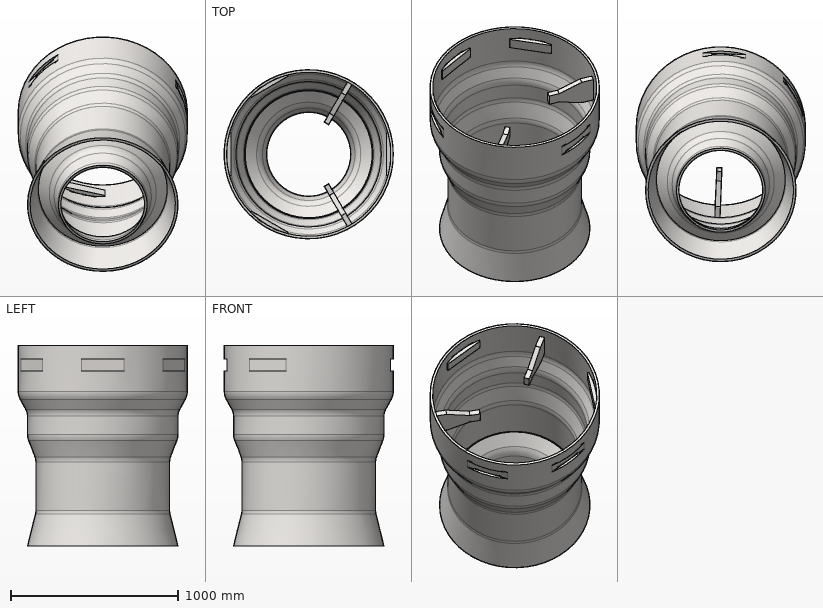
import cadquery as cq
import math

height = 1200.0
wall = 15.0
bell_diameter = 1012.0
bell_radius = bell_diameter / 2
step_radius = 450.0
neck_diameter = 800.0
neck_radius = neck_diameter / 2
bend_inside = 84.0
bend_outside = bend_inside + wall

bell_bottom = 900.0
step_top = 798.0
step_bottom = 649.0
neck_top = 520.0
neck_bottom = 202.0

indent_angles = (0, 120, 180, 240)
indent_floor = 490.0
pad_face = 465.0
indent_width = 2 * math.sqrt(bell_radius**2 - indent_floor**2)
indent_height = 70.0
indent_middle = 1082.0

plate_angles = (60, 300)
plate_thickness = 31.0
plate_tip = 212.0
plate_tip_end = 275.0
plate_root_start = 416.0
plate_middle = 1035.0
plate_tip_height = 70.0
plate_root_height = 173.0

bore_radius = neck_radius - wall
reducer_wall = 15.0
reducer_top = 216.0
reducer_mouth_radius = 379.0
knee_radius = 285.0
knee_height = 143.0
outlet_diameter = 500.0
outlet_length = 18.0


def rounded_path(points, radii):
    """Open path through (r, z) points, each inner corner rounded by its radius."""
    path = cq.Workplane("XZ").moveTo(*points[0])
    for before, corner, after, radius in zip(points, points[1:], points[2:], radii):
        corner_vec = cq.Vector(*corner)
        back = (cq.Vector(*before) - corner_vec).normalized()
        ahead = (cq.Vector(*after) - corner_vec).normalized()
        half_angle = back.getAngle(ahead) / 2
        setback = radius / math.tan(half_angle)
        to_arc_middle = radius / math.sin(half_angle) - radius
        start = corner_vec + back * setback
        middle = corner_vec + (back + ahead).normalized() * to_arc_middle
        end = corner_vec + ahead * setback
        path = path.lineTo(start.x, start.y).threePointArc((middle.x, middle.y), (end.x, end.y))
    return path.lineTo(*points[-1])


def turned(points, radii):
    """Solid of revolution filling from the axis out to the rounded path."""
    path = rounded_path(points, radii)
    path = path.lineTo(0, points[-1][1]).lineTo(0, points[0][1]).close()
    return path.revolve(360, (0, 0, 0), (0, 1, 0))


def inset_path(points, distance):
    """Offset of an (r, z) path, listed top to bottom, toward the axis, or away if negative."""
    slopes = [(b[0] - a[0]) / (a[1] - b[1]) for a, b in zip(points, points[1:])]
    shifts = [distance * math.hypot(1, slope) for slope in slopes]
    inset = [(points[0][0] - shifts[0], points[0][1])]
    for i in range(1, len(slopes)):
        drop = (shifts[i] - shifts[i - 1]) / (slopes[i] - slopes[i - 1])
        radius = points[i][0] - shifts[i] + slopes[i] * drop
        inset.append((radius, points[i][1] - drop))
    inset.append((points[-1][0] - shifts[-1], points[-1][1]))
    return inset


def indent_block(inner, outer, angle):
    """Block between two distances from the axis, at the place of an indent."""
    block = cq.Workplane("XY").box(outer - inner, indent_width, indent_height)
    block = block.translate(((inner + outer) / 2, 0, indent_middle))
    return block.rotate((0, 0, 0), (0, 0, 1), angle)


def make_housing():
    outside = [
        (bell_radius, height),
        (bell_radius, bell_bottom),
        (step_radius, step_top),
        (step_radius, step_bottom),
        (neck_radius, neck_top),
        (neck_radius, neck_bottom),
        (step_radius, 0),
    ]
    outer_bends = [bend_outside, bend_inside, bend_outside, bend_inside, bend_inside]
    inner_bends = [bend_inside, bend_outside, bend_inside, bend_outside, bend_outside]
    body = turned(outside, outer_bends).cut(turned(inset_path(outside, wall), inner_bends))
    for angle in indent_angles:
        body = body.union(indent_block(pad_face, indent_floor, angle))
        body = body.cut(indent_block(indent_floor, bell_radius + wall, angle))
    return body


def make_reducer():
    """Funnel from the bore of the neck down to the outlet, its rim trimmed to fit the bore."""
    inside = [
        (reducer_mouth_radius, reducer_top),
        (knee_radius, knee_height),
        (outlet_diameter / 2, outlet_length),
        (outlet_diameter / 2, 0),
    ]
    outside = inset_path(inside, -reducer_wall)
    funnel = turned(outside, [bend_inside] * 2).cut(turned(inside, [bend_outside] * 2))
    bore = cq.Workplane("XY").circle(bore_radius).extrude(reducer_top)
    return funnel.intersect(bore)


def make_plate(angle):
    """Radial plate, tall at the wall and tapering to a short tip."""
    tip_half = plate_tip_height / 2
    root_half = plate_root_height / 2
    plate = (
        cq.Workplane("XZ")
        .moveTo(plate_tip, plate_middle - tip_half)
        .lineTo(plate_tip_end, plate_middle - tip_half)
        .lineTo(plate_root_start, plate_middle - root_half)
        .lineTo(bell_radius, plate_middle - root_half)
        .lineTo(bell_radius, plate_middle + root_half)
        .lineTo(plate_root_start, plate_middle + root_half)
        .lineTo(plate_tip_end, plate_middle + tip_half)
        .lineTo(plate_tip, plate_middle + tip_half)
        .close()
        .extrude(plate_thickness / 2, both=True)
    )
    bore = cq.Workplane("XY").circle(bell_radius - wall).extrude(height)
    return plate.intersect(bore).rotate((0, 0, 0), (0, 0, 1), angle)


housing = make_housing()
reducer = make_reducer()
plates = [make_plate(angle) for angle in plate_angles]

result = cq.Compound.makeCompound([housing.val(), reducer.val(), *[plate.val() for plate in plates]])